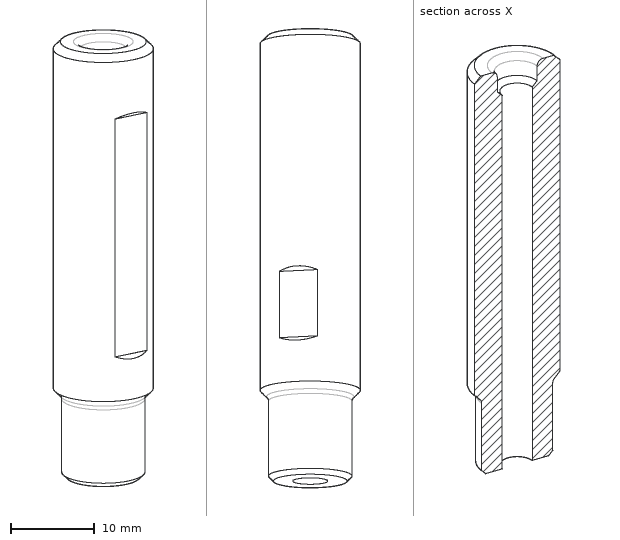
import cadquery as cq
import math

length = 54.0
body_diameter = 12.0
body_radius = body_diameter / 2
top_chamfer = 0.85

spigot_radius = 10.0 / 2
spigot_chamfer = 0.6
shoulder_height = 11.0
shoulder_blend_radius = 0.75

bore_radius = 4.15 / 2
counterbore_radius = 5.5 / 2
counterbore_depth = 2.8
mouth_round = 0.8

flat_depth = 0.5
flat_bottom = 16.05
short_flat_top = 25.05
long_flat_top = 46.55


def make_shaft():
    """Revolve the stepped outline, with a 45 degree shoulder blended into the spigot."""
    shoulder_drop = body_radius - spigot_radius
    corner_height = shoulder_height - shoulder_drop
    tangent_length = shoulder_blend_radius * math.tan(math.radians(45 / 2))
    cone_offset = tangent_length * math.cos(math.radians(45))
    center_x = spigot_radius + shoulder_blend_radius
    center_z = corner_height - tangent_length
    mid_angle = math.radians(180 - 45 / 2)
    blend_middle = (
        center_x + shoulder_blend_radius * math.cos(mid_angle),
        center_z + shoulder_blend_radius * math.sin(mid_angle),
    )
    blend_end = (spigot_radius + cone_offset, corner_height + cone_offset)
    return (
        cq.Workplane("XZ")
        .lineTo(spigot_radius - spigot_chamfer, 0)
        .lineTo(spigot_radius, spigot_chamfer)
        .lineTo(spigot_radius, center_z)
        .threePointArc(blend_middle, blend_end)
        .lineTo(body_radius, shoulder_height)
        .lineTo(body_radius, length - top_chamfer)
        .lineTo(body_radius - top_chamfer, length)
        .lineTo(0, length)
        .close()
        .revolve(360, (0, 0, 0), (0, 1, 0))
    )


def cut_bore(shaft):
    """Cut the through bore, counterbore and conical floor, then round the mouth."""
    wall_bottom = length - counterbore_depth
    cone_bottom = wall_bottom - (counterbore_radius - bore_radius)
    bore = (
        cq.Workplane("XZ")
        .lineTo(bore_radius, 0)
        .lineTo(bore_radius, cone_bottom)
        .lineTo(counterbore_radius, wall_bottom)
        .lineTo(counterbore_radius, length)
        .lineTo(0, length)
        .close()
        .revolve(360, (0, 0, 0), (0, 1, 0))
    )
    mouth_edge = cq.selectors.RadiusNthSelector(0)
    return shaft.cut(bore).faces(">Z").edges(mouth_edge).fillet(mouth_round)


def flat_cutter(side, top):
    """Prism that cuts a flat on the -X (side = -1) or +X (side = 1) face."""
    floor_x = side * (body_radius - flat_depth)
    outer_x = side * (body_radius + flat_depth)
    ramp = 2 * flat_depth
    low = flat_bottom - flat_depth
    high = top + flat_depth
    return (
        cq.Workplane("XZ")
        .polyline([(outer_x, low), (floor_x, low + ramp), (floor_x, high - ramp), (outer_x, high)])
        .close()
        .extrude(body_radius, both=True)
    )


result = cut_bore(make_shaft())
result = result.cut(flat_cutter(-1, short_flat_top))
result = result.cut(flat_cutter(1, long_flat_top))